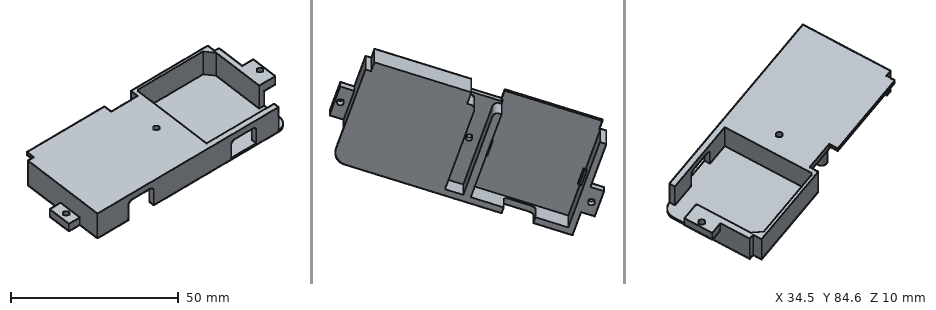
import cadquery as cq

width = 34.5
length = 84.6
height = 10.0

body_south = 4.3
body_north = 80.2
wall = 2.0
tray_side_wall = 1.0
floor_thickness = 0.8
floor_corner_radius = 4.0
side_step = 3.05
inner_right = width - wall

tray_outer_south = 47.9
tray_outer_north = 78.4
tray_south = 49.4
tray_north = body_north - wall
tray_chamfer_x = 3.05
tray_chamfer_y = 2.5
tray_corner_chamfer = 0.4
right_wall_north = body_north - floor_corner_radius

cover_thickness = 1.3
bridge_thickness = 2.4
cover_lip_south = 6.6
cover_lip_north = 37.4

cross_wall_south = 37.05
channel_south = 39.4
channel_north = 45.2
cross_wall_end = 3.9
cross_wall_radius = 1.6

window_width = 10.0
window_top = 7.45
window_radius = 1.5
cover_window_south = 16.7
tray_window_south = 57.4

ridge_top = 5.9
ridge_height = 0.85
ridge_depth = 1.1
ridge_tip = 0.4
ridge_length = 5.1

north_tab_x = 13.5
north_tab_width = 10.0
north_tab_thickness = 3.4
south_tab_x = 17.85
south_tab_width = 8.7
south_tab_thickness = 3.05
hole_diameter = 2.0
hole_centers = [(18.45, 82.9), (17.4, 42.7), (22.5, 2.45)]


def block(x0, x1, y0, y1, z0, z1):
    """Box between two opposite corners."""
    return cq.Workplane("XY").box(x1 - x0, y1 - y0, z1 - z0, centered=False).translate((x0, y0, z0))


def make_tray():
    """Tray with stepped north corner; its right side is closed by the right wall."""
    outer = block(0, width, tray_outer_south, tray_outer_north, 0, height)
    outer = outer.union(block(side_step, width, tray_outer_north, body_north, 0, height))
    outer = outer.edges("|Z and >X and >Y").fillet(floor_corner_radius)
    pocket = (
        cq.Workplane("XY", origin=(0, 0, floor_thickness))
        .moveTo(tray_side_wall + tray_corner_chamfer, tray_south)
        .lineTo(inner_right, tray_south)
        .lineTo(inner_right, tray_north)
        .lineTo(tray_side_wall + tray_chamfer_x, tray_north)
        .lineTo(tray_side_wall, tray_north - tray_chamfer_y)
        .lineTo(tray_side_wall, tray_south + tray_corner_chamfer)
        .close()
        .extrude(height)
    )
    north_tab_end = north_tab_x + north_tab_width
    north_gap = block(north_tab_end, width, right_wall_north, length, floor_thickness, height)
    return outer.cut(pocket).cut(north_gap)


def make_cross_wall(y0, y1, rounded_edge):
    """Full-height wall across the body with one rounded corner at its free end."""
    cross_wall = block(cross_wall_end, width, y0, y1, 0, height)
    return cross_wall.edges("|Z and <X").edges(rounded_edge).fillet(cross_wall_radius)


def make_covered_half():
    """Cover, bridge, end wall, right wall and the two cross walls."""
    cover_bottom = height - cover_thickness
    half = block(side_step, width, body_south, cover_lip_north, cover_bottom, height)
    half = half.union(block(0, width, cover_lip_south, cover_lip_north, cover_bottom, height))
    bridge_bottom = height - bridge_thickness
    half = half.union(block(side_step, width, cross_wall_south, tray_south, bridge_bottom, height))
    half = half.union(block(side_step, width, body_south, body_south + wall, 0, height))
    half = half.union(block(inner_right, width, body_south, tray_south, 0, height))
    half = half.union(make_cross_wall(cross_wall_south, channel_south, ">Y"))
    return half.union(make_cross_wall(channel_north, tray_south, "<Y"))


def make_window(south, bottom):
    """Cutter for a wall window with rounded upper corners."""
    cutter = block(inner_right, width, south, south + window_width, bottom, window_top)
    return cutter.edges("|X and >Z").fillet(window_radius)


def make_ridge(wall_y, direction):
    """Snap ridge on a wall face, pointing along +Y (1) or -Y (-1)."""
    middle = (side_step + inner_right) / 2
    tip_y = wall_y + direction * ridge_depth
    return (
        cq.Workplane("YZ", origin=(middle - ridge_length / 2, 0, 0))
        .moveTo(wall_y, ridge_top)
        .lineTo(tip_y, ridge_top)
        .lineTo(tip_y, ridge_top - ridge_tip)
        .lineTo(tip_y - direction * ridge_tip, ridge_top - ridge_height)
        .lineTo(wall_y, ridge_top - ridge_height)
        .close()
        .extrude(ridge_length)
    )


def make_tabs():
    """Screw tabs: flush with the top at the north end, with the bottom at the south end."""
    north_tab = block(
        north_tab_x, north_tab_x + north_tab_width,
        tray_north, length,
        height - north_tab_thickness, height,
    )
    south_tab = block(
        south_tab_x, south_tab_x + south_tab_width,
        0, body_south + wall,
        0, south_tab_thickness,
    )
    return north_tab, south_tab


result = make_tray().union(make_covered_half())
result = result.cut(make_window(cover_window_south, 0))
result = result.cut(make_window(tray_window_south, floor_thickness))
result = result.union(make_ridge(body_south + wall, 1))
result = result.union(make_ridge(cross_wall_south, -1))
for tab in make_tabs():
    result = result.union(tab)
holes = cq.Workplane("XY").pushPoints(hole_centers).circle(hole_diameter / 2).extrude(height)
result = result.cut(holes)